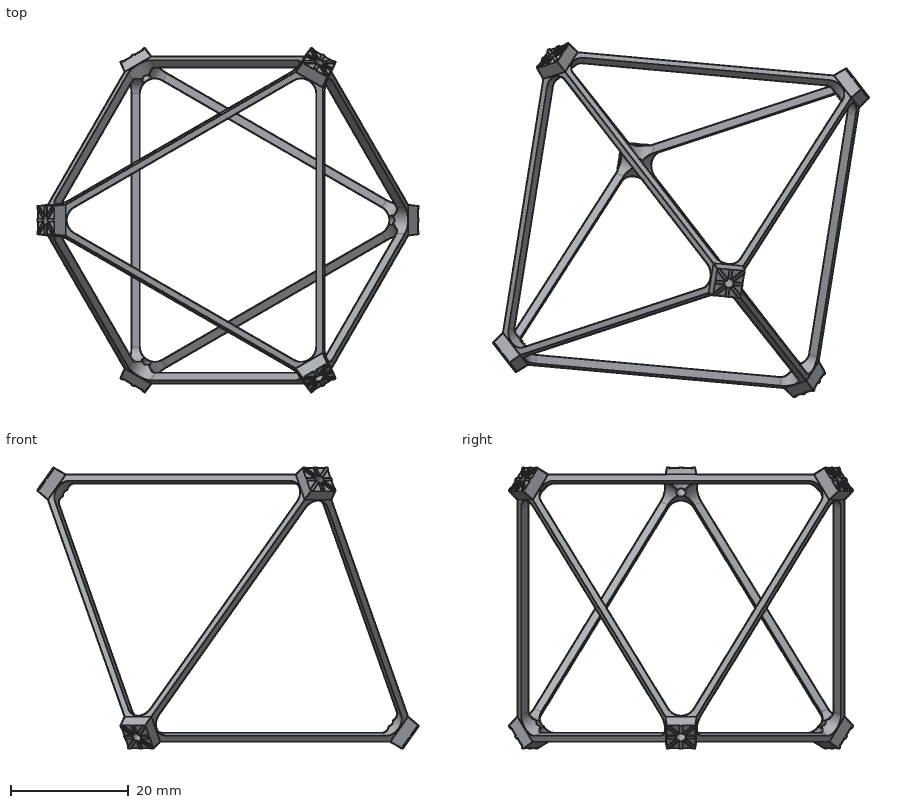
import cadquery as cq
import math


face_distance = 22.75
rim_width = 1.1
window_corner_radius = 2.55

node_base = 35.0
node_end = 38.1
node_base_side = 5.4
node_end_side = 4.8
node_bore_diameter = 1.6

rib_width = 0.5
rib_height = 0.2
rib_angles = (0, 45, 90, 135)

vertex_distance = face_distance * math.sqrt(3)
face_inradius = face_distance / math.sqrt(2)
square_side = vertex_distance * math.sqrt(2)
apex_side = square_side / 10000

vertex_rise = 1 / math.sqrt(3)
vertex_spread = math.sqrt(2 / 3)
vertex_directions = [
    cq.Vector(
        vertex_spread * math.cos(math.radians(azimuth)),
        vertex_spread * math.sin(math.radians(azimuth)),
        vertex_rise,
    )
    for azimuth in (180, 60, -60)
]
axis_a, axis_b, axis_c = vertex_directions
signs = (1, -1)


def make_vertex_planes():
    """Planes through the centre, each facing one vertex and squared up with its node."""
    planes = []
    for index, direction in enumerate(vertex_directions):
        node_edge = vertex_directions[index - 1] + vertex_directions[index - 2]
        for sign in signs:
            planes.append(cq.Plane(origin=(0, 0, 0), xDir=node_edge, normal=direction * sign))
    return planes


def make_frustum(plane, start, start_side, end, end_side):
    """Square frustum between two distances along the plane's normal."""
    return (
        cq.Workplane(plane)
        .workplane(offset=start)
        .rect(start_side, start_side)
        .workplane(offset=end - start)
        .rect(end_side, end_side)
        .loft(ruled=True)
    )


def make_octahedron(upper_plane, lower_plane):
    """Two square pyramids joined base to base."""
    upper = make_frustum(upper_plane, 0, square_side, vertex_distance, apex_side)
    lower = make_frustum(lower_plane, 0, square_side, vertex_distance, apex_side)
    return upper.union(lower)


def make_end_relief(plane):
    """Material around the ribs, to be removed from the end of a node and beyond."""
    layer = cq.Workplane(plane).workplane(offset=node_end - rib_height)
    relief = layer.rect(node_base_side, node_base_side).extrude(vertex_distance - node_end)
    for angle in rib_angles:
        rib = (
            layer.transformed(rotate=(0, 0, angle))
            .rect(2 * node_base_side, rib_width)
            .extrude(vertex_distance - node_end)
        )
        relief = relief.cut(rib)
    return relief


def make_tip(plane):
    """Sharp octahedron tip beyond the end of a node."""
    return (
        cq.Workplane(plane)
        .workplane(offset=node_end)
        .rect(node_base_side, node_base_side)
        .extrude(vertex_distance - node_end)
    )


def make_bore(plane):
    """Hole running from the open middle of the frame out through a node."""
    return cq.Workplane(plane).circle(node_bore_diameter / 2).extrude(vertex_distance)


def make_window(sign_a, sign_b, sign_c):
    """Rounded triangular prism running from the centre out through one face."""
    corner = axis_a * sign_a
    normal = corner + axis_b * sign_b + axis_c * sign_c
    corner_in_plane = corner - normal / 3
    plane = cq.Plane(origin=(0, 0, 0), xDir=corner_in_plane, normal=normal)
    window_inradius = face_inradius - rim_width
    circumscribed_diameter = 4 * window_inradius
    return (
        cq.Workplane(plane)
        .polygon(3, circumscribed_diameter)
        .extrude(2 * face_distance)
        .edges(cq.selectors.ParallelDirSelector(normal))
        .fillet(window_corner_radius)
    )


vertex_planes = make_vertex_planes()
result = make_octahedron(vertex_planes[0], vertex_planes[1])

for vertex_plane in vertex_planes:
    node = make_frustum(vertex_plane, node_base, node_base_side, node_end, node_end_side)
    result = result.cut(make_tip(vertex_plane)).union(node)

for sign_a in signs:
    for sign_b in signs:
        for sign_c in signs:
            result = result.cut(make_window(sign_a, sign_b, sign_c))

for vertex_plane in vertex_planes:
    result = result.cut(make_end_relief(vertex_plane)).cut(make_bore(vertex_plane))